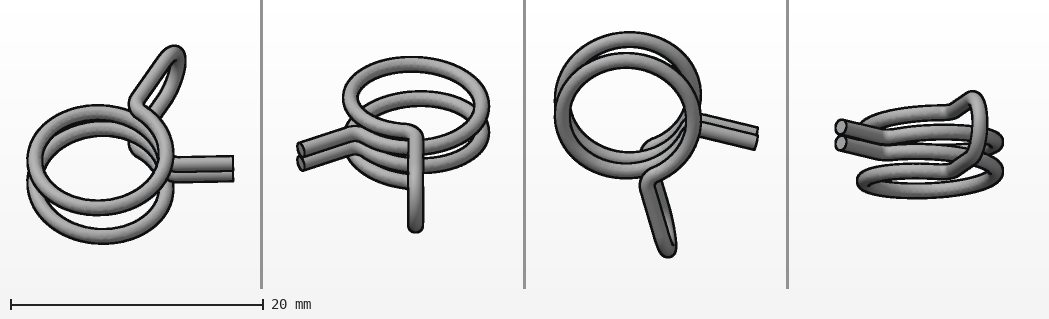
import cadquery as cq
import math

wire_diameter = 1.2
coil_radius = 5.2
clip_height = 6.0
tail_height = 0.65
bend_radius = 1.1
leg_end_radius = 10.5
loop_angle = 120
tail_angle = 60

wire_radius = wire_diameter / 2
loop_height = clip_height / 2 - wire_radius

bend_centre_radius = coil_radius + bend_radius
bend_span = math.degrees(math.asin(bend_radius / bend_centre_radius))
leg_start_radius = math.sqrt(bend_centre_radius**2 - bend_radius**2)
bend_turn = 90 - bend_span

coil_start_angle = tail_angle + bend_span
coil_end_angle = loop_angle - bend_span + 360


def coil():
    """Helical wire rising counter-clockwise from the tail to the loop."""
    rise = loop_height - tail_height
    turns = (coil_end_angle - coil_start_angle) / 360
    helix = cq.Wire.makeHelix(rise / turns, rise, coil_radius)
    section = cq.Workplane("XZ").center(coil_radius, 0).circle(wire_radius)
    body = section.sweep(cq.Workplane(obj=helix), isFrenet=True)
    return body.rotate((0, 0, 0), (0, 0, 1), coil_start_angle).translate((0, 0, tail_height))


def bend_and_leg():
    """Level outward bend, then a straight leg along +X; the bend lies on the +Y side."""
    leg = cq.Workplane("YZ", origin=(leg_start_radius, 0, 0)).circle(wire_radius)
    leg = leg.extrude(leg_end_radius - leg_start_radius)
    bend = cq.Workplane("YZ", origin=(leg_start_radius, 0, 0)).circle(wire_radius)
    bend = bend.revolve(bend_turn, (bend_radius, 0), (bend_radius, -1))
    return leg.union(bend)


def loop_end():
    """Half turn of the U that joins the two loop legs, in the plane Y = 0."""
    section = cq.Workplane("YZ", origin=(leg_end_radius, 0, loop_height)).circle(wire_radius)
    return section.revolve(180, (0, -loop_height), (1, -loop_height))


def turned(body, angle):
    return body.rotate((0, 0, 0), (0, 0, 1), angle)


tail = turned(bend_and_leg().translate((0, 0, tail_height)), tail_angle)
loop_leg = turned(bend_and_leg().mirror("XZ").translate((0, 0, loop_height)), loop_angle)

upper_half = coil().union(tail).union(loop_leg)
lower_half = upper_half.mirror("XY")
result = upper_half.union(turned(loop_end(), loop_angle)).union(lower_half)